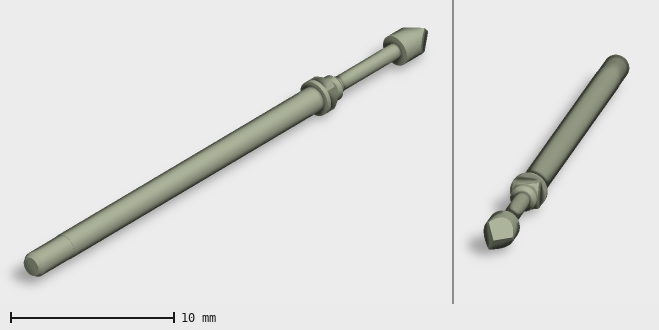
import cadquery as cq
import math


COLLAR_DIAMETER = 2.3
COLLAR_THICKNESS = 0.3
BARREL_DIAMETER = 1.65
BARREL_LENGTH = 25.5
TAIL_DIAMETER = 1.6
TAIL_LENGTH = 3.0
TAIL_END_DIAMETER = 1.25
TAIL_CHAMFER_LENGTH = 0.3

MOUTH_Y = 2.05
MOUTH_DIAMETER = 1.2
MOUTH_LIP = 0.07
MOUTH_TAPER = 0.25
SQUARE_SIDE = BARREL_DIAMETER
SQUARE_FRONT_Y = 1.3
LEAD_IN_ANGLE = 45.0

TIP_Y = 10.3
HEAD_LENGTH = 3.0
HEAD_DIAMETER = 2.0
SHAFT_DIAMETER = 1.0
FACET_COUNT = 3
FACET_ANGLE = 30.0


def revolve_profile(points):
    """Revolve a closed (radius, y) outline about the Y axis."""
    return cq.Workplane("XY").polyline(points).close().revolve(360, (0, 0, 0), (0, 1, 0))


def make_barrel():
    """Tail, barrel, collar and tapered mouth."""
    tail_end = -BARREL_LENGTH
    tail_start = tail_end + TAIL_LENGTH
    tail_radius = TAIL_DIAMETER / 2
    barrel_radius = BARREL_DIAMETER / 2
    collar_radius = COLLAR_DIAMETER / 2
    mouth_radius = MOUTH_DIAMETER / 2
    lip_y = MOUTH_Y - MOUTH_LIP
    return revolve_profile([
        (0, tail_end),
        (TAIL_END_DIAMETER / 2, tail_end),
        (tail_radius, tail_end + TAIL_CHAMFER_LENGTH),
        (tail_radius, tail_start),
        (barrel_radius, tail_start),
        (barrel_radius, 0),
        (collar_radius, 0),
        (collar_radius, COLLAR_THICKNESS),
        (barrel_radius, COLLAR_THICKNESS),
        (barrel_radius, lip_y - MOUTH_TAPER),
        (mouth_radius, lip_y),
        (mouth_radius, MOUTH_Y),
        (0, MOUTH_Y),
    ])


def make_square_section():
    """Square section with corners rounded to the collar and a conical lead-in."""
    flat_radius = SQUARE_SIDE / 2
    corner_radius = COLLAR_DIAMETER / 2
    cone_length = (corner_radius - flat_radius) / math.tan(math.radians(LEAD_IN_ANGLE))
    envelope = revolve_profile([
        (0, COLLAR_THICKNESS),
        (corner_radius, COLLAR_THICKNESS),
        (corner_radius, SQUARE_FRONT_Y - cone_length),
        (flat_radius, SQUARE_FRONT_Y),
        (0, SQUARE_FRONT_Y),
    ])
    square = cq.Workplane("XY").box(SQUARE_SIDE, 2 * SQUARE_FRONT_Y, SQUARE_SIDE)
    return envelope.intersect(square)


def make_head():
    """Plunger head cut to a three-sided point with one ridge toward -X."""
    base_y = TIP_Y - HEAD_LENGTH
    head = revolve_profile([
        (0, base_y),
        (HEAD_DIAMETER / 2, base_y),
        (HEAD_DIAMETER / 2, TIP_Y),
        (0, TIP_Y),
    ])
    cutter_size = 3 * HEAD_LENGTH
    half_space = (
        cq.Workplane("XY")
        .box(cutter_size, 2 * cutter_size, cutter_size, centered=(False, True, True))
        .rotate((0, 0, 0), (0, 0, 1), FACET_ANGLE)
        .translate((0, TIP_Y, 0))
    )
    for index in range(FACET_COUNT):
        turn = index * 360 / FACET_COUNT
        head = head.cut(half_space.rotate((0, 0, 0), (0, 1, 0), turn))
    return head


def make_shaft():
    """Plunger shaft joining the barrel mouth to the head."""
    return revolve_profile([
        (0, 0),
        (SHAFT_DIAMETER / 2, 0),
        (SHAFT_DIAMETER / 2, TIP_Y - HEAD_LENGTH),
        (0, TIP_Y - HEAD_LENGTH),
    ])


result = make_barrel().union(make_square_section()).union(make_shaft()).union(make_head())